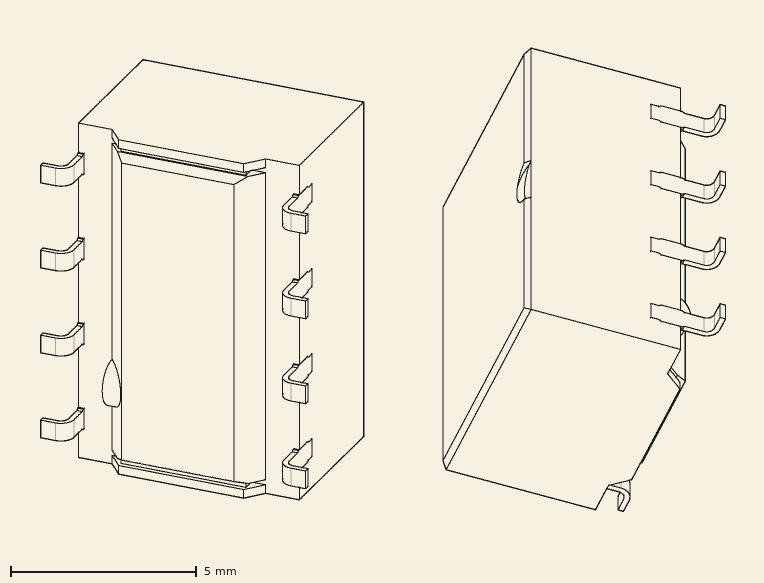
import cadquery as cq
import math


WIDTH = 6.5
HEIGHT = 10.0
LEDGE_DEPTH = 4.45
BACK_CHAMFER = 0.15

PLATFORM_DEPTH = 5.19
PLATFORM_FOOT_WIDTH = 4.52
PLATFORM_FACE_WIDTH = 3.3
RAIL_DEPTH = 4.96
RAIL_THICKNESS = 0.26
FLANK_RUN = (PLATFORM_FOOT_WIDTH - PLATFORM_FACE_WIDTH) / 2 / (PLATFORM_DEPTH - LEDGE_DEPTH)
RAIL_FACE_WIDTH = PLATFORM_FOOT_WIDTH - 2 * FLANK_RUN * (RAIL_DEPTH - LEDGE_DEPTH)

GROOVE_DEPTH = 4.81
GROOVE_WIDTH = 0.15
RAMP_START_DEPTH = 4.86
RAMP_RISE = 0.15
PLATFORM_HEIGHT = HEIGHT - 2 * (RAIL_THICKNESS + GROOVE_WIDTH)

BOSS_RADIUS = 0.66
BOSS_Z = -2.53

NOTCH_RADIUS = 0.7
NOTCH_DEPTH = BACK_CHAMFER
DISH_RADIUS = 1.38
DISH_OVERHANG = 0.3
DISH_RIM_RADIUS = 0.99

LEAD_COUNT = 4
LEAD_PITCH = 2.54
LEAD_SPAN = 7.8
LEAD_TIP_DEPTH = 5.5
LEAD_START_DEPTH = 3.59
LEAD_THICKNESS = 0.16
LEAD_WIDTH = 0.53
BEND_INNER_RADIUS = 0.22
BEND_OUTER_RADIUS = BEND_INNER_RADIUS + LEAD_THICKNESS
SHOULDER_WIDTH = 0.62
SHOULDER_START_DEPTH = 3.83
SHOULDER_END_DEPTH = 4.56
SHOULDER_TAPER = 0.06


def raised_section(face_width, depth, height):
    """Trapezoid standing on the ledge, extruded along Z and centred on Z = 0."""
    return (
        cq.Workplane("XY")
        .workplane(offset=-height / 2)
        .polyline(
            [
                (-PLATFORM_FOOT_WIDTH / 2, -LEDGE_DEPTH),
                (PLATFORM_FOOT_WIDTH / 2, -LEDGE_DEPTH),
                (face_width / 2, -depth),
                (-face_width / 2, -depth),
            ]
        )
        .close()
        .extrude(height)
    )


def make_block():
    block = cq.Workplane("XY").box(WIDTH, LEDGE_DEPTH, HEIGHT)
    return block.translate((0, -LEDGE_DEPTH / 2, 0)).faces(">Y").chamfer(BACK_CHAMFER)


def make_platform():
    """Platform whose two ends slope back near its face."""
    half_height = PLATFORM_HEIGHT / 2
    face_half_height = half_height - RAMP_RISE
    side_outline = (
        cq.Workplane("YZ")
        .polyline(
            [
                (-LEDGE_DEPTH, -half_height),
                (-RAMP_START_DEPTH, -half_height),
                (-PLATFORM_DEPTH, -face_half_height),
                (-PLATFORM_DEPTH, face_half_height),
                (-RAMP_START_DEPTH, half_height),
                (-LEDGE_DEPTH, half_height),
            ]
        )
        .close()
        .extrude(PLATFORM_FOOT_WIDTH / 2, both=True)
    )
    return raised_section(PLATFORM_FACE_WIDTH, PLATFORM_DEPTH, PLATFORM_HEIGHT).intersect(side_outline)


def make_rail(end):
    """Rail flush with the top (end = 1) or bottom (end = -1) of the housing."""
    rail = raised_section(RAIL_FACE_WIDTH, RAIL_DEPTH, RAIL_THICKNESS)
    return rail.translate((0, 0, end * (HEIGHT - RAIL_THICKNESS) / 2))


def make_groove_floor(end):
    """Low bar joining a rail to the platform; its front is the groove floor."""
    rise = GROOVE_DEPTH - LEDGE_DEPTH
    bar = cq.Workplane("XY").box(RAIL_FACE_WIDTH, rise, GROOVE_WIDTH)
    return bar.translate((0, -LEDGE_DEPTH - rise / 2, end * (PLATFORM_HEIGHT + GROOVE_WIDTH) / 2))


def make_boss():
    """Half cylinder along X, from the foot of the left flank into the platform."""
    return (
        cq.Workplane("YZ", origin=(-PLATFORM_FOOT_WIDTH / 2, -LEDGE_DEPTH, BOSS_Z))
        .moveTo(0, BOSS_RADIUS)
        .threePointArc((-BOSS_RADIUS, 0), (0, -BOSS_RADIUS))
        .close()
        .extrude(PLATFORM_FOOT_WIDTH / 2)
    )


def make_notch():
    """Cylinder along Y whose right half cuts the left back edge, its inner end rounded by a sphere."""
    cylinder = cq.Workplane("XZ", origin=(-WIDTH / 2, 0, 0)).circle(NOTCH_RADIUS).extrude(NOTCH_DEPTH)
    sphere_y = math.sqrt(DISH_RADIUS**2 - DISH_RIM_RADIUS**2)
    sphere = cq.Workplane("XY").sphere(DISH_RADIUS).translate((-WIDTH / 2 - DISH_OVERHANG, sphere_y, 0))
    return cylinder.intersect(sphere)


def make_housing(leads):
    housing = make_block().union(make_platform()).union(make_boss())
    for end in (-1, 1):
        housing = housing.union(make_rail(end)).union(make_groove_floor(end))
    housing = housing.cut(make_notch())
    for lead in leads:
        housing = housing.cut(lead)
    return housing


def make_lead():
    """Right-hand lead centred on Z = 0, its outer face flush with the housing wall."""
    outer_x = WIDTH / 2
    inner_x = outer_x - LEAD_THICKNESS
    bend_x = outer_x + BEND_INNER_RADIUS
    bend_y = -LEAD_TIP_DEPTH + BEND_OUTER_RADIUS
    toe_x = LEAD_SPAN / 2
    foot_top_y = -LEAD_TIP_DEPTH + LEAD_THICKNESS
    strip = (
        cq.Workplane("XY")
        .moveTo(inner_x, -LEAD_START_DEPTH)
        .lineTo(inner_x, bend_y)
        .radiusArc((bend_x, -LEAD_TIP_DEPTH), -BEND_OUTER_RADIUS)
        .lineTo(toe_x, -LEAD_TIP_DEPTH)
        .lineTo(toe_x, foot_top_y)
        .lineTo(bend_x, foot_top_y)
        .radiusArc((outer_x, bend_y), BEND_INNER_RADIUS)
        .lineTo(outer_x, -LEAD_START_DEPTH)
        .close()
        .extrude(LEAD_WIDTH / 2, both=True)
    )
    shoulder_outline = [
        (-SHOULDER_START_DEPTH, LEAD_WIDTH / 2),
        (-SHOULDER_START_DEPTH - SHOULDER_TAPER, SHOULDER_WIDTH / 2),
        (-SHOULDER_END_DEPTH + SHOULDER_TAPER, SHOULDER_WIDTH / 2),
        (-SHOULDER_END_DEPTH, LEAD_WIDTH / 2),
    ]
    mirrored_outline = [(y, -z) for y, z in reversed(shoulder_outline)]
    shoulder = (
        cq.Workplane("YZ", origin=(inner_x, 0, 0))
        .polyline(shoulder_outline + mirrored_outline)
        .close()
        .extrude(LEAD_THICKNESS)
    )
    return strip.union(shoulder)


def make_leads():
    """Two mirrored columns of evenly spaced leads."""
    right_lead = make_lead()
    left_lead = right_lead.mirror("YZ")
    leads = []
    for index in range(LEAD_COUNT):
        z = (index - (LEAD_COUNT - 1) / 2) * LEAD_PITCH
        leads.append(right_lead.translate((0, 0, z)))
        leads.append(left_lead.translate((0, 0, z)))
    return leads


leads = make_leads()
housing = make_housing(leads)
result = cq.Compound.makeCompound([housing.solids().val(), *[lead.solids().val() for lead in leads]])